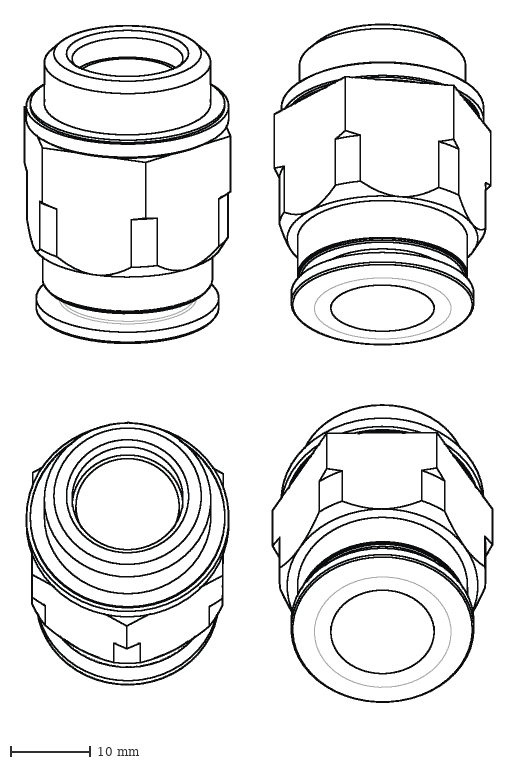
import cadquery as cq
import math

TOTAL_HEIGHT = 35.3
RIM_LOW_Z = 0.5
RIM_HIGH_Z = 0.75
FLANGE_TOP_Z = 2.1
BODY_BOTTOM_Z = 4.15
HEX_BOTTOM_Z = 9.8
RELIEF_TOP_Z = 18.0
HEX_TOP_Z = 26.05
SEAL_TOP_Z = 28.5

FLANGE_DIAMETER = 23.0
FLANGE_FACE_DIAMETER = 17.2
RIM_LOW_DIAMETER = 22.6
NECK_DIAMETER = 16.8
NECK_FILLET = 0.25

BODY_DIAMETER = 21.4
BODY_STEP_DIAMETER = 21.0
BODY_STEP_Z = 4.6
BODY_END_CHAMFER = 0.2

HEX_SIDES = 6
ACROSS_FLATS = 24.0
HALF_SECTOR_ANGLE = 180 / HEX_SIDES
ACROSS_CORNERS = ACROSS_FLATS / math.cos(math.radians(HALF_SECTOR_ANGLE))
RELIEF_DIAMETER = 26.0
RELIEF_TOP_ANGLE = 30
HEX_BOTTOM_ANGLE = 60
ENVELOPE_MARGIN = 1.0

COLLAR_DIAMETER = 24.5
SEAL_DIAMETER = 25.5
SEAL_EDGE_STEP = 0.33
THREAD_DIAMETER = 20.95
THREAD_CHAMFER = 1.2

BORE_DIAMETER = 13.0
MOUTH_DIAMETER = 13.97
MOUTH_DEPTH = 3.36
MOUTH_CHAMFER = 0.7


def disc(diameter, bottom_z, top_z):
    """Solid cylinder on the Z axis between two heights."""
    return cq.Workplane("XY").workplane(offset=bottom_z).circle(diameter / 2).extrude(top_z - bottom_z)


def revolve_profile(points):
    """Solid of revolution about Z from (radius, height) points."""
    return cq.Workplane("XZ").polyline(points).close().revolve(360, (0, 0, 0), (0, 1, 0))


def release_flange():
    """Neck filleted onto a flange with a bevelled rim and a shallow conical end face."""
    neck_radius = NECK_DIAMETER / 2
    rim_radius = FLANGE_DIAMETER / 2
    fillet_start = (neck_radius + NECK_FILLET, FLANGE_TOP_Z)
    fillet_end = (neck_radius, FLANGE_TOP_Z + NECK_FILLET)
    return (
        cq.Workplane("XZ")
        .lineTo(FLANGE_FACE_DIAMETER / 2, 0)
        .lineTo(RIM_LOW_DIAMETER / 2, RIM_LOW_Z)
        .lineTo(rim_radius, RIM_HIGH_Z)
        .lineTo(rim_radius, FLANGE_TOP_Z)
        .lineTo(*fillet_start)
        .radiusArc(fillet_end, NECK_FILLET)
        .lineTo(neck_radius, BODY_BOTTOM_Z)
        .lineTo(0, BODY_BOTTOM_Z)
        .close()
        .revolve(360, (0, 0, 0), (0, 1, 0))
    )


def round_body():
    """Cylinder below the hexagon, with a shallow step and a chamfer at its lower end."""
    step = disc(BODY_STEP_DIAMETER, BODY_BOTTOM_Z, BODY_STEP_Z).faces("<Z").chamfer(BODY_END_CHAMFER)
    return step.union(disc(BODY_DIAMETER, BODY_STEP_Z, HEX_BOTTOM_Z))


def hexagon():
    """Hexagonal prism whose lower corners are turned down and bevelled."""
    prism = (
        cq.Workplane("XY")
        .workplane(offset=HEX_BOTTOM_Z)
        .polygon(HEX_SIDES, ACROSS_CORNERS)
        .extrude(HEX_TOP_Z - HEX_BOTTOM_Z)
        .rotate((0, 0, 0), (0, 0, 1), HALF_SECTOR_ANGLE)
    )
    flat_radius = ACROSS_FLATS / 2
    relief_radius = RELIEF_DIAMETER / 2
    outer_radius = ACROSS_CORNERS / 2 + ENVELOPE_MARGIN
    bevel_height = (relief_radius - flat_radius) * math.tan(math.radians(HEX_BOTTOM_ANGLE))
    shoulder_rise = (outer_radius - relief_radius) * math.tan(math.radians(RELIEF_TOP_ANGLE))
    turned_envelope = revolve_profile([
        (0, HEX_BOTTOM_Z),
        (flat_radius, HEX_BOTTOM_Z),
        (relief_radius, HEX_BOTTOM_Z + bevel_height),
        (relief_radius, RELIEF_TOP_Z),
        (outer_radius, RELIEF_TOP_Z + shoulder_rise),
        (outer_radius, HEX_TOP_Z),
        (0, HEX_TOP_Z),
    ])
    return prism.intersect(turned_envelope)


def seal_collar():
    """Collar carrying a slightly wider seal ring."""
    collar = disc(COLLAR_DIAMETER, HEX_TOP_Z, SEAL_TOP_Z)
    seal = disc(SEAL_DIAMETER, HEX_TOP_Z + SEAL_EDGE_STEP, SEAL_TOP_Z - SEAL_EDGE_STEP)
    return collar.union(seal)


def threaded_end():
    """Plain cylinder standing for the thread, chamfered at the top."""
    return disc(THREAD_DIAMETER, SEAL_TOP_Z, TOTAL_HEIGHT).faces(">Z").chamfer(THREAD_CHAMFER)


def bore():
    """Through bore and the wider, chamfered mouth at the top."""
    mouth_radius = MOUTH_DIAMETER / 2
    mouth_floor_z = TOTAL_HEIGHT - MOUTH_DEPTH
    return revolve_profile([
        (0, 0),
        (BORE_DIAMETER / 2, 0),
        (BORE_DIAMETER / 2, mouth_floor_z),
        (mouth_radius, mouth_floor_z),
        (mouth_radius, TOTAL_HEIGHT - MOUTH_CHAMFER),
        (mouth_radius + MOUTH_CHAMFER, TOTAL_HEIGHT),
        (0, TOTAL_HEIGHT),
    ])


result = (
    release_flange()
    .union(round_body())
    .union(hexagon())
    .union(seal_collar())
    .union(threaded_end())
    .cut(bore())
)